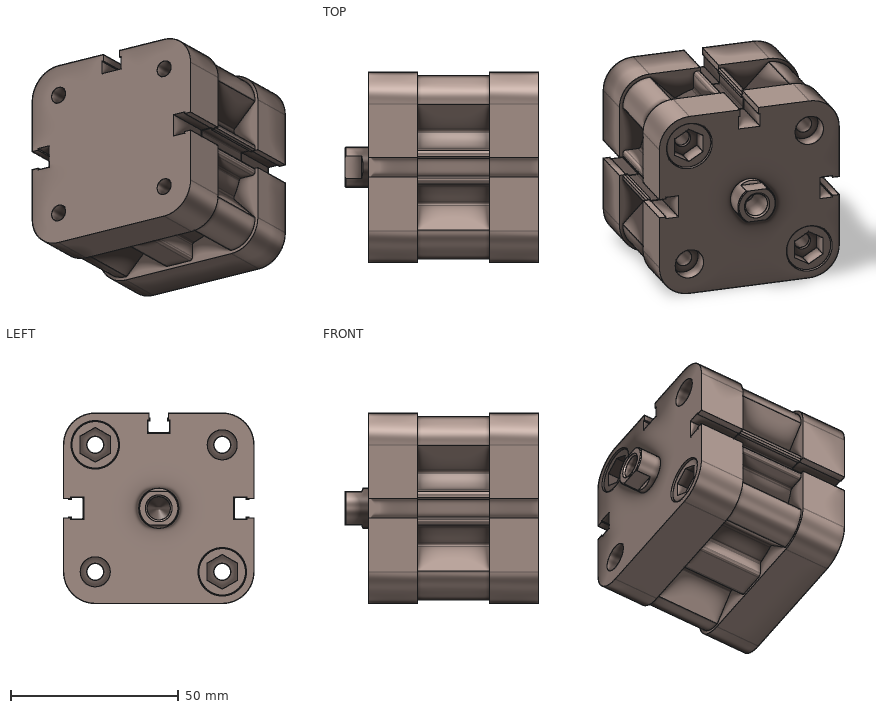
import cadquery as cq
import math


cap_size = 57.0
cap_length = 14.8
cap_corner_radius = 9.5
rod_protrusion = 7.0
overall_length = 58.0
housing_length = overall_length - rod_protrusion
tube_length = housing_length - 2 * cap_length
hole_offset = cap_size / 2 - cap_corner_radius

tube_recess = 1.05
tube_half = cap_size / 2 - tube_recess
barrel_radius = 22.5
pocket_half_width = 18.75
pocket_bottom = 13.9
pocket_half_bottom = pocket_half_width - (tube_half - pocket_bottom)
pocket_fillet = 0.9
rib_half_width = 5.0
rib_edge_fillet = 1.0
rib_root_fillet = 0.8

cap_slot_opening = 2.9
cap_slot_lip_depth = 2.1
cap_slot_half_width = 3.4
cap_slot_depth = 6.1
tube_slot_opening = 2.65
tube_slot_lip_depth = 2.4
tube_slot_half_width = 3.2
tube_slot_depth = 5.85
tube_slot_mouth_chamfer = 0.5
tube_slot_floor_fillet = 0.4
slot_angles = (-90, 0, 90)

screw_hole_diameter = 5.0
counterbore_diameter = 9.0
counterbore_depth = 5.1
nut_seat_diameter = 14.5
nut_diameter = 13.9
nut_length = 6.95
nut_recess = 0.5
hex_across_flats = 9.0
hex_depth = 5.6
nut_centres = [(hole_offset, hole_offset), (-hole_offset, -hole_offset)]
counterbore_centres = [(-hole_offset, hole_offset), (hole_offset, -hole_offset)]

rod_diameter = 12.0
rod_insertion = cap_length
rod_tip_chamfer = 0.3
flat_across = 10.0
flat_length = 5.05
flat_runout = 0.4
thread_hole_diameter = 6.95
thread_hole_depth = 12.0
thread_mouth_diameter = 8.0
drill_point_angle = 118


def section(x):
    """Workplane across the axis at x: local x is +Y, local y is +Z, extrusion goes toward +X."""
    return cq.Workplane("YZ", origin=(x, 0, 0))


def cylinder(x, diameter, length, centres=((0, 0),)):
    return section(x).pushPoints(centres).circle(diameter / 2).extrude(length)


def rounded_square(x, size, corner_radius, length):
    return section(x).rect(size, size).extrude(length).edges("|X").fillet(corner_radius)


def turned(shape, angle):
    """The shape turned about the X axis, from the +Z side to another side."""
    return shape.rotate((0, 0, 0), (1, 0, 0), angle)


def mirrored_outline(x, half_points, length):
    """Prism whose outline is the given +Y half, closed by its mirror image."""
    other_half = [(-y, z) for y, z in reversed(half_points)]
    return section(x).polyline(half_points + other_half).close().extrude(length)


def make_pocket():
    """Cutter for the hollow between two corner posts, leaving the barrel standing."""
    tool = mirrored_outline(
        cap_length,
        [(pocket_half_width, tube_half), (pocket_half_bottom, pocket_bottom)],
        tube_length,
    )
    return tool.cut(cylinder(cap_length, 2 * barrel_radius, tube_length))


def make_rib():
    """Rib along the middle of a pocket, rooted inside the barrel."""
    half_points = [(rib_half_width, tube_half), (rib_half_width, pocket_bottom)]
    return mirrored_outline(cap_length, half_points, tube_length)


def edges_at(shape, centres, tolerance=0.005):
    """Edges along X that pass through the given (Y, Z) points."""
    found = []
    for edge in shape.edges("|X").vals():
        middle = edge.Center()
        if any(math.hypot(middle.y - y, middle.z - z) < tolerance for y, z in centres):
            found.append(edge)
    return shape.newObject(found)


def around_axis(y, z):
    """The point and its mirror image, repeated on all four sides."""
    return [(y, z), (-y, z), (y, -z), (-y, -z), (z, y), (-z, y), (z, -y), (-z, -y)]


def make_tube():
    tube = rounded_square(cap_length, 2 * tube_half, cap_corner_radius - tube_recess, tube_length)
    pocket = make_pocket()
    rib = make_rib()
    for angle in (0, 90, 180, 270):
        tube = tube.cut(turned(pocket, angle)).union(turned(rib, angle))

    flank_offset = tube_half - pocket_half_width
    flank_y = (math.sqrt(2 * barrel_radius**2 - flank_offset**2) - flank_offset) / 2
    rib_root_z = math.sqrt(barrel_radius**2 - rib_half_width**2)
    for y, z, radius in (
        (flank_y, flank_y + flank_offset, pocket_fillet),
        (rib_half_width, rib_root_z, rib_root_fillet),
        (rib_half_width, tube_half, rib_edge_fillet),
    ):
        tube = edges_at(tube, around_axis(y, z)).fillet(radius)
    return tube


def make_cap_slot(x):
    side = cap_size / 2
    half_points = [
        (cap_slot_opening, side),
        (cap_slot_opening, side - cap_slot_lip_depth),
        (cap_slot_half_width, side - cap_slot_lip_depth),
        (cap_slot_half_width, side - cap_slot_depth),
    ]
    return mirrored_outline(x, half_points, cap_length)


def make_tube_slot():
    side = cap_size / 2
    floor = side - tube_slot_depth
    half_points = [
        (tube_slot_opening + tube_slot_mouth_chamfer, tube_half),
        (tube_slot_opening, tube_half - tube_slot_mouth_chamfer),
        (tube_slot_opening, side - tube_slot_lip_depth),
        (tube_slot_half_width, side - tube_slot_lip_depth),
        (tube_slot_half_width, floor),
    ]
    slot = mirrored_outline(cap_length, half_points, tube_length)
    floor_corners = [(tube_slot_half_width, floor), (-tube_slot_half_width, floor)]
    return edges_at(slot, floor_corners).fillet(tube_slot_floor_fillet)


def make_housing():
    rear_cap_x = housing_length - cap_length
    front_cap = rounded_square(0, cap_size, cap_corner_radius, cap_length)
    rear_cap = rounded_square(rear_cap_x, cap_size, cap_corner_radius, cap_length)
    tube = make_tube()
    for angle in slot_angles:
        front_cap = front_cap.cut(turned(make_cap_slot(0), angle))
        rear_cap = rear_cap.cut(turned(make_cap_slot(rear_cap_x), angle))
        tube = tube.cut(turned(make_tube_slot(), angle))
    body = front_cap.union(tube).union(rear_cap)

    body = body.cut(
        cylinder(0, screw_hole_diameter, housing_length, nut_centres + counterbore_centres)
    )
    body = body.cut(cylinder(0, counterbore_diameter, counterbore_depth, counterbore_centres))
    body = body.cut(cylinder(0, nut_seat_diameter, nut_recess + nut_length, nut_centres))
    return body.cut(cylinder(0, rod_diameter, rod_insertion))


def make_nut(y, z):
    """Round nut with a hexagon socket and a through hole, seated in the front cap."""
    hex_across_corners = hex_across_flats / math.cos(math.radians(30))
    nut = cylinder(0, nut_diameter, nut_length)
    nut = nut.cut(cylinder(0, screw_hole_diameter, nut_length))
    socket = section(0).polygon(6, hex_across_corners).extrude(hex_depth)
    socket = turned(socket, 90)
    return nut.cut(socket).translate((nut_recess, y, z))


def make_rod():
    tip = -rod_protrusion
    rod = cylinder(tip, rod_diameter, rod_protrusion + rod_insertion)
    rod = rod.faces("<X").chamfer(rod_tip_chamfer)

    flat = flat_across / 2
    top = rod_diameter / 2
    flat_cut = (
        cq.Workplane("XZ", origin=(0, top, 0))
        .polyline([
            (tip, flat),
            (tip + flat_length, flat),
            (tip + flat_length + flat_runout, top),
            (tip, top),
        ])
        .close()
        .extrude(rod_diameter)
    )
    rod = rod.cut(flat_cut).cut(turned(flat_cut, 180))

    bore_radius = thread_hole_diameter / 2
    mouth_radius = thread_mouth_diameter / 2
    bore_end = tip + thread_hole_depth
    point_length = bore_radius / math.tan(math.radians(drill_point_angle / 2))
    hole = (
        cq.Workplane("XY")
        .polyline([
            (tip, 0),
            (tip, mouth_radius),
            (tip + mouth_radius - bore_radius, bore_radius),
            (bore_end, bore_radius),
            (bore_end + point_length, 0),
        ])
        .close()
        .revolve(360, (0, 0, 0), (1, 0, 0))
    )
    return rod.cut(hole)


housing = make_housing()
rod = make_rod()
nuts = [make_nut(y, z) for y, z in nut_centres]

result = cq.Compound.makeCompound([housing.val(), rod.val(), *[nut.val() for nut in nuts]])